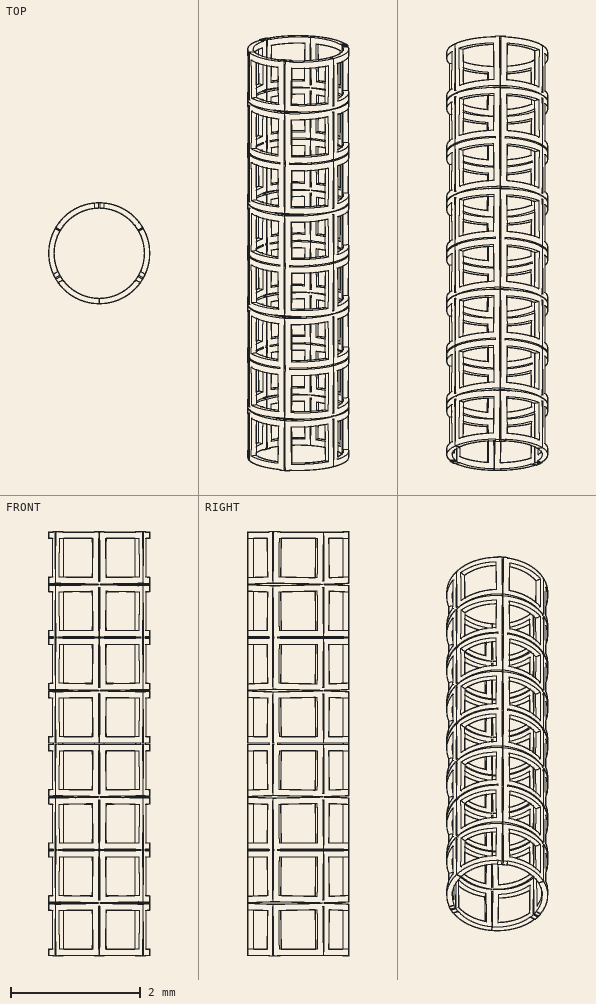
import cadquery as cq
import math

outer_radius = 0.78
wall = 0.085
inner_radius = outer_radius - wall

cells_around = 6
unit_count = 4
total_height = 6.55
unit_pitch = total_height / unit_count
cell_angle = 360 / cells_around

unit_gap = 0.02
slit_narrow = 0.006
slit_wide = 0.024
mid_slot_narrow = 0.004
mid_slot_wide = 0.038

rail_height = 0.1
post_width = 0.097
row_height = (unit_pitch - unit_gap) / 2
half_cell = outer_radius * math.radians(cell_angle / 2)

tab_width = 0.15
hinge_width = 0.03
hinge_height = 0.1

first_hinge_angle = -90
first_tab_angle = first_hinge_angle + cell_angle
joint_step = 2 * cell_angle
joints_around = cells_around // 2

cutter_start = inner_radius / 2
cutter_end = 2 * outer_radius


def tube(height):
    return cq.Workplane("XY").circle(outer_radius).circle(inner_radius).extrude(height)


def turn_to(shape, angle):
    """Turn a shape built around +X to the given angle about the tube axis."""
    return shape.rotate((0, 0, 0), (0, 0, 1), angle)


def radial_wedge(points):
    """Cutter along +X whose sides run radially.

    Points are (arc length on the outside of the tube, height) pairs, with arc length 0 on +X.
    """
    wires = []
    for x in (cutter_start, cutter_end):
        corners = [cq.Vector(x, x * math.tan(arc / outer_radius), z) for arc, z in points]
        wires.append(cq.Wire.makePolygon(corners, close=True))
    return cq.Solid.makeLoft(wires, True)


def wall_block(width, height):
    """Piece of the tube wall around +X, centred on z = 0."""
    block = cq.Workplane("XY").box(cutter_end, width, height).translate((cutter_end / 2, 0, 0))
    return block.intersect(tube(height).translate((0, 0, -height / 2))).val()


def mid_slot_edge(arc):
    """Height of the upper edge of the mid-unit slot; the hinge is on the negative side."""
    share = (arc + half_cell) / (2 * half_cell)
    return (mid_slot_narrow + share * (mid_slot_wide - mid_slot_narrow)) / 2


def mid_slot():
    """Mid-unit slot across one cell, widening away from the hinge."""
    narrow = mid_slot_edge(-half_cell)
    wide = mid_slot_edge(half_cell)
    return radial_wedge([
        (-half_cell, -narrow),
        (half_cell, -wide),
        (half_cell, wide),
        (-half_cell, narrow),
    ])


def upper_window():
    """Window above the mid-unit slot, its edges parallel to the slots around the frame."""
    head = row_height - rail_height
    sill_left = post_width + slit_wide / 2 - half_cell
    sill_right = half_cell - post_width - slit_narrow / 2
    head_left = post_width + slit_narrow / 2 - half_cell
    head_right = half_cell - post_width - slit_wide / 2
    return radial_wedge([
        (sill_left, mid_slot_edge(sill_left) + rail_height),
        (sill_right, mid_slot_edge(sill_right) + rail_height),
        (head_right, head),
        (head_left, head),
    ])


def upper_slit(lower_width, upper_width):
    """Tapered slit between two frames above the mid-unit slot."""
    return radial_wedge([
        (-lower_width / 2, 0),
        (lower_width / 2, 0),
        (upper_width / 2, row_height),
        (-upper_width / 2, row_height),
    ])


def with_lower_copy(shape):
    return [shape, shape.mirror("XY")]


def unit_cutters():
    """Cutters for one unit, with its mid-height at z = 0."""
    cells = [mid_slot()] + with_lower_copy(upper_window())
    mirrored_cells = [cutter.mirror("XZ") for cutter in cells]
    hinge_slits = with_lower_copy(upper_slit(slit_wide, slit_narrow))
    tab_slits = with_lower_copy(upper_slit(slit_narrow, slit_wide))

    end_gap = tube(unit_gap / 2).val().translate((0, 0, row_height))
    cutters = with_lower_copy(end_gap)
    for index in range(joints_around):
        hinge_angle = first_hinge_angle + index * joint_step
        tab_angle = first_tab_angle + index * joint_step
        cutters += [turn_to(cutter, hinge_angle + cell_angle / 2) for cutter in cells]
        cutters += [turn_to(cutter, tab_angle + cell_angle / 2) for cutter in mirrored_cells]
        cutters += [turn_to(cutter, hinge_angle) for cutter in hinge_slits]
        cutters += [turn_to(cutter, tab_angle) for cutter in tab_slits]
    return cutters


def unit_joints():
    """Tabs and hinges of one unit, with its mid-height at z = 0."""
    half_tab = wall_block(tab_width, unit_gap / 2)
    hinge = wall_block(hinge_width, hinge_height)
    tabs = with_lower_copy(half_tab.translate((0, 0, row_height + unit_gap / 4)))
    pieces = []
    for index in range(joints_around):
        hinge_angle = first_hinge_angle + index * joint_step
        tab_angle = first_tab_angle + index * joint_step
        pieces += [turn_to(tab, tab_angle) for tab in tabs]
        pieces.append(turn_to(hinge, hinge_angle))
    return pieces


def unit_body():
    """One unit of the lattice, with its mid-height at z = 0."""
    blank = tube(unit_pitch).val().translate((0, 0, -unit_pitch / 2))
    return blank.cut(*unit_cutters()).fuse(*unit_joints())


def stack_units():
    unit = unit_body()
    levels = [(index + 0.5) * unit_pitch for index in range(unit_count)]
    units = [unit.translate((0, 0, level)) for level in levels]
    return units[0].fuse(*units[1:]).clean()


result = cq.Workplane("XY").newObject(stack_units().Solids())